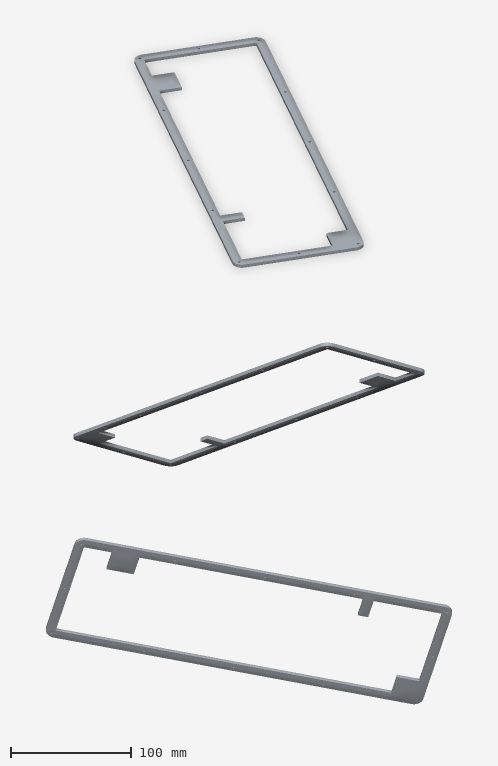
import cadquery as cq

LENGTH = 322.0
WIDTH = 112.3
THICKNESS = 3.0
CORNER_RADIUS = 8.0
RAIL = 8.0

WIDE_TAB_START = 32.2
WIDE_TAB_WIDTH = 23.2
WIDE_TAB_REACH = 19.3
NARROW_TAB_START = 246.5
NARROW_TAB_WIDTH = 8.7
NARROW_TAB_REACH = 18.7

PAD_LENGTH = 27.0
PAD_WIDTH = 26.5

HOLE_DIAMETER = 2.2
CORNER_HOLE_INSET = 5.0
RAIL_HOLE_INSET = RAIL / 2
RAIL_HOLE_PITCH = 76.5

HALF_LENGTH = LENGTH / 2
HALF_WIDTH = WIDTH / 2


def block(x, y, length, width):
    """Full-thickness block with its front left corner at (x, y)."""
    return cq.Workplane("XY").box(length, width, THICKNESS, centered=False).translate((x, y, 0))


def front_tab(start, width, reach):
    """Tab rooted in the front rail and reaching into the opening."""
    return block(start - HALF_LENGTH, RAIL / 2 - HALF_WIDTH, width, RAIL / 2 + reach)


def opening():
    """Window left by the rails, tabs and corner pad."""
    window = block(RAIL - HALF_LENGTH, RAIL - HALF_WIDTH, LENGTH - 2 * RAIL, WIDTH - 2 * RAIL)
    window = window.cut(front_tab(WIDE_TAB_START, WIDE_TAB_WIDTH, WIDE_TAB_REACH))
    window = window.cut(front_tab(NARROW_TAB_START, NARROW_TAB_WIDTH, NARROW_TAB_REACH))
    return window.cut(block(HALF_LENGTH - PAD_LENGTH, HALF_WIDTH - PAD_WIDTH, PAD_LENGTH, PAD_WIDTH))


def hole_centers():
    """One hole in each corner, three along each long rail, one in each short rail."""
    corner_x = HALF_LENGTH - CORNER_HOLE_INSET
    corner_y = HALF_WIDTH - CORNER_HOLE_INSET
    rail_x = HALF_LENGTH - RAIL_HOLE_INSET
    rail_y = HALF_WIDTH - RAIL_HOLE_INSET
    centers = []
    for side in (-1, 1):
        centers += [(x, side * corner_y) for x in (-corner_x, corner_x)]
        centers += [(x, side * rail_y) for x in (-RAIL_HOLE_PITCH, 0, RAIL_HOLE_PITCH)]
        centers.append((side * rail_x, 0))
    return centers


plate = block(-HALF_LENGTH, -HALF_WIDTH, LENGTH, WIDTH).edges("|Z").fillet(CORNER_RADIUS)
holes = cq.Workplane("XY").pushPoints(hole_centers()).circle(HOLE_DIAMETER / 2).extrude(THICKNESS)
result = plate.cut(opening()).cut(holes)